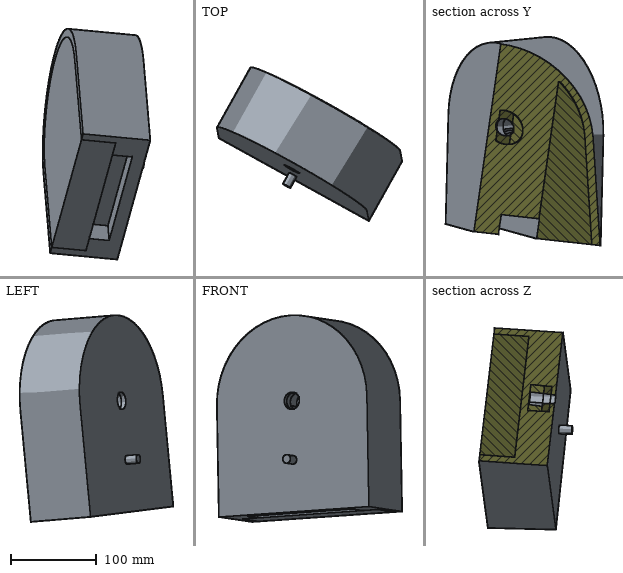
import cadquery as cq


case_width = 200.0
case_depth = 80.0
arch_centre_height = 130.0

rim_wall = 10.0
panel_front = 39.3

slot_width = 140.0
slot_front = 15.7
slot_height = 24.0

bore_diameter = 20.0
ring_outer_diameter = 40.0
front_wall = 5.8
front_ring_length = 8.7
rear_ring_length = 15.5

keyway_width = 5.8
keyway_depth = 4.8
keyway_angle = 139.0

peg_diameter = 10.1
peg_length = 15.0
peg_height = 60.7

roll = -4.2
pitch = -3.5
yaw = -28.9


def arched_block(width, front):
    """Block with a round top, reaching from `front` to the back of the case."""
    radius = width / 2
    return (
        cq.Workplane("XZ", origin=(0, front, 0))
        .moveTo(-radius, 0)
        .lineTo(radius, 0)
        .lineTo(radius, arch_centre_height)
        .threePointArc((0, arch_centre_height + radius), (-radius, arch_centre_height))
        .close()
        .extrude(front - case_depth)
    )


def rod(diameter, height, front, length):
    """Round bar along y, centred across the case."""
    return cq.Workplane("XZ", origin=(0, front, height)).circle(diameter / 2).extrude(-length)


def make_ring(front, length):
    """Ring around the bore axis."""
    outside = rod(ring_outer_diameter, arch_centre_height, front, length)
    return outside.cut(rod(bore_diameter, arch_centre_height, front, length))


def make_panel():
    return arched_block(case_width - 2 * rim_wall, panel_front)


def make_case():
    slot = cq.Workplane("XY").box(
        slot_width, panel_front - slot_front, slot_height, centered=(True, False, False)
    )
    bore = rod(bore_diameter, arch_centre_height, 0, front_wall)
    ring_pocket = rod(
        ring_outer_diameter, arch_centre_height, front_wall, front_ring_length + rear_ring_length
    )
    return (
        arched_block(case_width, 0)
        .cut(make_panel())
        .cut(slot.translate((0, slot_front, 0)))
        .cut(bore)
        .cut(ring_pocket)
    )


def make_front_ring():
    return make_ring(front_wall, front_ring_length)


def make_rear_ring():
    front = front_wall + front_ring_length
    reach = bore_diameter / 2 + keyway_depth
    keyway = (
        cq.Workplane("XY")
        .box(reach, rear_ring_length, keyway_width, centered=(False, False, True))
        .rotate((0, 0, 0), (0, 1, 0), keyway_angle)
        .translate((0, front, arch_centre_height))
    )
    return make_ring(front, rear_ring_length).cut(keyway)


def make_peg():
    return rod(peg_diameter, peg_height, -peg_length, peg_length)


def tilt(body):
    return (
        body.rotate((0, 0, 0), (1, 0, 0), roll)
        .rotate((0, 0, 0), (0, 1, 0), pitch)
        .rotate((0, 0, 0), (0, 0, 1), yaw)
    )


case = tilt(make_case())
panel = tilt(make_panel())
front_ring = tilt(make_front_ring())
rear_ring = tilt(make_rear_ring())
peg = tilt(make_peg())

result = cq.Compound.makeCompound(
    [case.val(), panel.val(), front_ring.val(), rear_ring.val(), peg.val()]
)